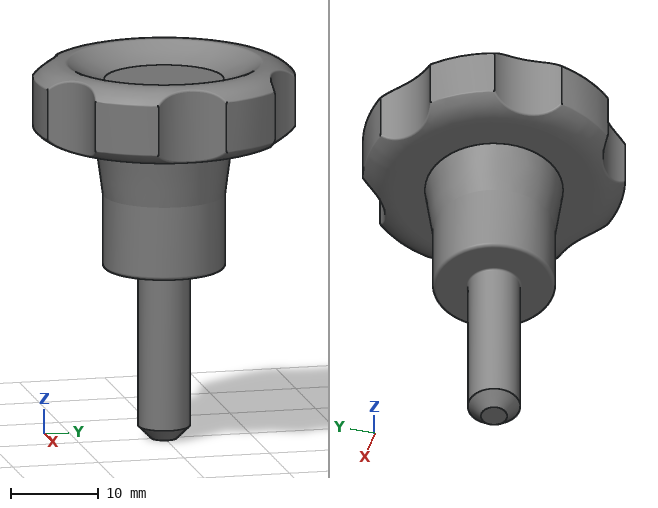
import cadquery as cq
import math

total_height = 44.0
head_height = 9.0
neck_bottom = 28.6
collar_bottom = 20.0

pin_radius = 6.0 / 2
pin_chamfer = 1.5
pin_root_fillet = 0.2

collar_radius = 14.0 / 2
collar_fillet = 0.45
neck_top_radius = 7.88

head_radius = 14.95
crown_start_radius = 11.45
crown_drop = 1.6
head_edge_fillet = 0.25
lobe_count = 6
scallop_floor_radius = 13.02
scallop_half_width = 3.95

dish_rim_radius = 11.15
dish_floor_radius = 6.8
dish_depth = 2.0
dish_bulge = 0.2
dish_rim_fillet = 0.45

head_bottom = total_height - head_height


def crown_midpoint(face_height, direction):
    """Middle of the crown arc, which leaves the flat face tangentially."""
    width = head_radius - crown_start_radius
    arc_radius = (width**2 + crown_drop**2) / (2 * crown_drop)
    half_sweep = math.asin(width / arc_radius) / 2
    radius = crown_start_radius + arc_radius * math.sin(half_sweep)
    height = face_height + direction * arc_radius * (1 - math.cos(half_sweep))
    return radius, height


def make_head():
    """Crowned disc with a ring of round scallops cut into its edge."""
    disc = (
        cq.Workplane("XZ")
        .moveTo(0, head_bottom)
        .lineTo(crown_start_radius, head_bottom)
        .threePointArc(crown_midpoint(head_bottom, 1), (head_radius, head_bottom + crown_drop))
        .lineTo(head_radius, total_height - crown_drop)
        .threePointArc(crown_midpoint(total_height, -1), (crown_start_radius, total_height))
        .lineTo(0, total_height)
        .close()
        .revolve(360, (0, 0), (0, 1))
    )
    corner_distance = math.sqrt(head_radius**2 - scallop_half_width**2)
    sagitta = corner_distance - scallop_floor_radius
    scallop_radius = (scallop_half_width**2 + sagitta**2) / (2 * sagitta)
    scallops = (
        cq.Workplane("XY", origin=(0, 0, head_bottom))
        .polarArray(scallop_floor_radius + scallop_radius, 0, 360, lobe_count)
        .circle(scallop_radius)
        .extrude(head_height)
    )
    head = disc.cut(scallops)
    outline_height = head_height / 2 - crown_drop
    middle = (total_height + head_bottom) / 2
    outline = [
        edge
        for edge in head.edges("not |Z").vals()
        if abs(edge.Center().z - middle) > outline_height - head_edge_fillet
        and not edge.IsClosed()
    ]
    return head.newObject(outline).fillet(head_edge_fillet)


def make_stem():
    """Tapered neck, collar and chamfered pin on one axis."""
    pin_tip_radius = pin_radius - pin_chamfer
    return (
        cq.Workplane("XZ")
        .lineTo(pin_tip_radius, 0)
        .lineTo(pin_radius, pin_chamfer)
        .lineTo(pin_radius, collar_bottom - pin_root_fillet)
        .radiusArc((pin_radius + pin_root_fillet, collar_bottom), pin_root_fillet)
        .lineTo(collar_radius - collar_fillet, collar_bottom)
        .radiusArc((collar_radius, collar_bottom + collar_fillet), -collar_fillet)
        .lineTo(collar_radius, neck_bottom)
        .lineTo(neck_top_radius, head_bottom)
        .lineTo(0, head_bottom)
        .close()
        .revolve(360, (0, 0), (0, 1))
    )


def make_dish():
    """Solid of the recess: flat floor with a gently curved flank."""
    floor = total_height - dish_depth
    middle_radius = (dish_rim_radius + dish_floor_radius) / 2
    return (
        cq.Workplane("XZ")
        .moveTo(0, floor)
        .lineTo(dish_floor_radius, floor)
        .threePointArc(
            (middle_radius, floor + dish_depth / 2 - dish_bulge),
            (dish_rim_radius, total_height),
        )
        .lineTo(0, total_height)
        .close()
        .revolve(360, (0, 0), (0, 1))
    )


knob = make_head().union(make_stem()).cut(make_dish())
rim = [
    edge
    for edge in knob.faces(">Z").edges("%CIRCLE").vals()
    if math.isclose(edge.radius(), dish_rim_radius)
]
result = knob.newObject(rim).fillet(dish_rim_fillet)